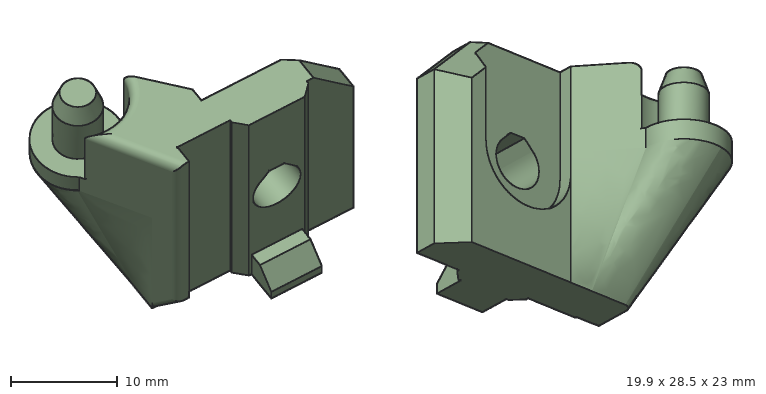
import cadquery as cq
import math

height = 23.0

disc_radius = 4.53
disc_bottom = 13.85
disc_top = 15.93
pin_radius = 4.8 / 2
pin_tip_radius = 1.7
pin_shoulder = 21.0
pocket_radius = 4.82
rim_radius = 0.97

plate_left = 5.5
plate_right = 10.5
plate_near = 9.23
plate_far = 23.97
side_chamfer = 2.5
top_chamfer = 4.47

recess_depth = 1.55
recess_radius = 5.25
bolt_y = plate_near + recess_radius
bolt_z = 11.5
bolt_radius = 2.65
bolt_flat_height = 2.9

pad_right = 11.95
pad_half_width = 4.28
pad_chamfer = 1.17
tab_right = 15.35
tab_half_width = 2.82
tab_height = 3.0
tab_chamfer = 1.97

lip_right = 12.5
lip_back = 4.33
lip_front = 3.02
lip_slope = 0.622
lip_foot_chamfer = 2.2
relief_radius = 0.1 / 2
arm_back_x = 0.17
arm_front_x = 3.68

foot_right = 10.3
foot_straight_end = 6.6
foot_corner = 0.85
foot_crease = 7.47
corner_start = 190
corner_end = 260


def arm_front_y(x):
    """Y of the sloping front face of the arm."""
    return lip_front - lip_slope * (lip_right - x)


def disc_point(degrees):
    angle = math.radians(degrees)
    return (disc_radius * math.cos(angle), disc_radius * math.sin(angle))


def disc_angle(point):
    """Direction of a point from the pin axis, from 0 to 360 degrees."""
    return math.degrees(math.atan2(point[1], point[0])) % 360


def box(x0, x1, y0, y1, z0, z1):
    return cq.Workplane("XY").box(x1 - x0, y1 - y0, z1 - z0, centered=False).translate((x0, y0, z0))


arm_back = (arm_back_x, math.sqrt(disc_radius**2 - arm_back_x**2))
arm_front = (arm_front_x, arm_front_y(arm_front_x))


def make_plate():
    plate = (
        cq.Workplane("YZ", origin=(plate_left, 0, 0))
        .polyline([
            (plate_near, 0),
            (plate_far, 0),
            (plate_far, height - top_chamfer),
            (plate_far - top_chamfer, height),
            (plate_near, height),
        ])
        .close()
        .extrude(plate_right - plate_left)
    )
    plate = plate.faces("<X").edges(">Y or (not(|Y or |Z))").chamfer(side_chamfer)
    shoulder = pad_right - pad_chamfer
    pad = (
        cq.Workplane("XY")
        .polyline([
            (plate_right, bolt_y - pad_half_width),
            (shoulder, bolt_y - pad_half_width),
            (pad_right, bolt_y - pad_half_width + pad_chamfer),
            (pad_right, bolt_y + pad_half_width - pad_chamfer),
            (shoulder, bolt_y + pad_half_width),
            (plate_right, bolt_y + pad_half_width),
        ])
        .close()
        .extrude(height)
    )
    tab = box(plate_right, tab_right, bolt_y - tab_half_width, bolt_y + tab_half_width, 0, tab_height)
    tab = tab.edges(">X and >Z").chamfer(tab_chamfer)
    return plate.union(pad).union(tab)


def make_arm():
    arm = (
        cq.Workplane("XY")
        .polyline([
            (plate_left, plate_near),
            arm_back,
            arm_front,
            (lip_right, lip_front),
            (lip_right, lip_back),
            (plate_right, lip_back),
            (plate_right, plate_near),
        ])
        .close()
        .extrude(height)
    )
    lip_foot = (
        cq.Workplane("XZ")
        .polyline([
            (lip_right - lip_foot_chamfer, 0),
            (lip_right, 0),
            (lip_right, lip_foot_chamfer),
        ])
        .close()
        .extrude(-lip_back)
    )
    arm = arm.cut(lip_foot)

    front_normal = cq.Vector(lip_slope, -1, 0)
    front_face = arm.faces(cq.selectors.DirectionNthSelector(front_normal, -1))
    rounded_edges = front_face.edges(">Z or >X or (not(#Z or |Z))")
    arm = rounded_edges.fillet(rim_radius)

    below_disc = box(-disc_radius, foot_right, -disc_radius, plate_near, 0, disc_bottom)
    relief = (
        cq.Workplane("XY")
        .center(plate_right, lip_back)
        .circle(relief_radius)
        .extrude(height)
    )
    return arm.cut(below_disc).cut(relief)


def make_foot():
    """Ruled transition from the disc and arm outline down to a rounded rectangle."""
    front = arm_front_y(foot_right)
    corner_inset = foot_corner * (1 - math.sqrt(0.5))
    upper = (
        cq.Workplane("XY", origin=(0, 0, disc_bottom))
        .moveTo(plate_left, plate_near)
        .lineTo(*arm_back)
        .threePointArc(disc_point((disc_angle(arm_back) + corner_start) / 2), disc_point(corner_start))
        .threePointArc(disc_point((corner_start + corner_end) / 2), disc_point(corner_end))
        .threePointArc(disc_point((corner_end + disc_angle(arm_front)) / 2), arm_front)
        .lineTo(foot_right, front)
        .lineTo(foot_right, plate_near)
        .close()
    )
    lower = (
        cq.Workplane("XY")
        .moveTo(plate_left, plate_near)
        .lineTo(plate_left, foot_straight_end)
        .lineTo(plate_left, front + foot_corner)
        .threePointArc(
            (plate_left + corner_inset, front + corner_inset),
            (plate_left + foot_corner, front),
        )
        .lineTo(foot_crease, front)
        .lineTo(foot_right, front)
        .lineTo(foot_right, plate_near)
        .close()
    )
    return cq.Workplane(cq.Solid.makeLoft([lower.val(), upper.val()], True))


def make_pocket():
    """Clearance around the pin, flared by a rounded rim at the top."""
    rim_inset = rim_radius * (1 - math.sqrt(0.5))
    return (
        cq.Workplane("XZ")
        .moveTo(0, disc_top)
        .lineTo(pocket_radius, disc_top)
        .lineTo(pocket_radius, height - rim_radius)
        .threePointArc(
            (pocket_radius + rim_inset, height - rim_inset),
            (pocket_radius + rim_radius, height),
        )
        .lineTo(0, height)
        .close()
        .revolve(360, (0, 0), (0, 1))
    )


def make_pin():
    return (
        cq.Workplane("XZ")
        .polyline([
            (0, disc_bottom),
            (disc_radius, disc_bottom),
            (disc_radius, disc_top),
            (pin_radius, disc_top),
            (pin_radius, pin_shoulder),
            (pin_tip_radius, height),
            (0, height),
        ])
        .close()
        .revolve(360, (0, 0), (0, 1))
    )


def make_recess():
    slot = (
        cq.Workplane("YZ", origin=(plate_left, 0, 0))
        .center(bolt_y, bolt_z)
        .circle(recess_radius)
        .extrude(recess_depth)
    )
    return slot.union(
        box(plate_left, plate_left + recess_depth,
            bolt_y - recess_radius, bolt_y + recess_radius, bolt_z, height)
    )


def make_bolt_hole():
    """Round hole with a 45 degree roof cut off flat."""
    tangent = bolt_radius * math.sqrt(0.5)
    flat_half_width = bolt_radius * math.sqrt(2) - bolt_flat_height
    return (
        cq.Workplane("YZ", origin=(plate_left, 0, 0))
        .center(bolt_y, bolt_z)
        .moveTo(-tangent, tangent)
        .threePointArc((0, -bolt_radius), (tangent, tangent))
        .lineTo(flat_half_width, bolt_flat_height)
        .lineTo(-flat_half_width, bolt_flat_height)
        .close()
        .extrude(pad_right - plate_left)
    )


plate = make_plate().cut(make_recess()).cut(make_bolt_hole())
arm = make_arm().union(make_foot()).cut(make_pocket())
result = plate.union(arm).union(make_pin())